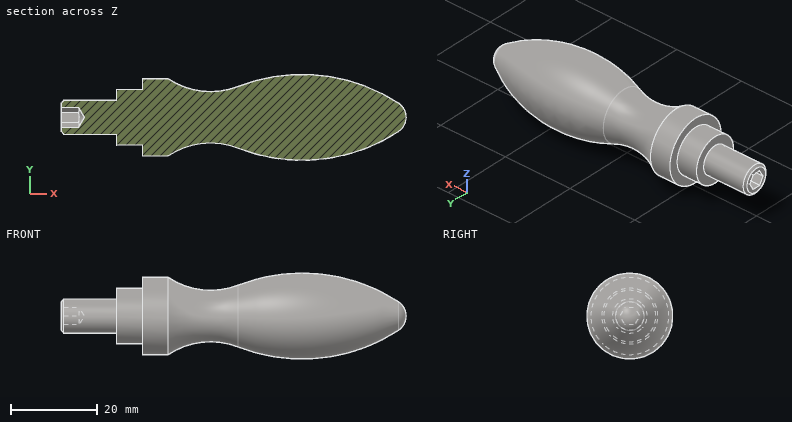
import cadquery as cq
import math

total_length = 80.0

pin_radius = 4.0
pin_length = 12.8
pin_chamfer_length = 0.6
pin_chamfer_depth = 0.7
collar_radius = 6.5
collar_length = 6.0
head_radius = 18.0 / 2
head_length = 6.0

neck_radius = 6.0
neck_curve_radius = 17.6
belly_radius = 10.0
belly_curve_radius = 40.8
tip_radius = 4.0

socket_across_flats = 4.0
socket_depth = 4.0
socket_point_angle = 120.0

collar_end = pin_length + collar_length
head_end = collar_end + head_length

tip_center = (total_length - tip_radius, 0)
belly_center_y = belly_radius - belly_curve_radius
belly_x = tip_center[0] - math.sqrt((belly_curve_radius - tip_radius) ** 2 - belly_center_y**2)
belly_center = (belly_x, belly_center_y)

neck_center_y = neck_radius + neck_curve_radius
center_distance = neck_curve_radius + belly_curve_radius
neck_x = belly_x - math.sqrt(center_distance**2 - (neck_center_y - belly_center_y) ** 2)
neck_center = (neck_x, neck_center_y)


def point_towards(start, target, distance):
    """Point at a signed distance from start on the line to target."""
    fraction = distance / math.dist(start, target)
    return tuple(s + (t - s) * fraction for s, t in zip(start, target))


neck_end = point_towards(neck_center, belly_center, neck_curve_radius)
belly_end = point_towards(belly_center, tip_center, belly_curve_radius)
tip_mid_angle = math.atan2(belly_end[1], belly_end[0] - tip_center[0]) / 2
tip_mid = (
    tip_center[0] + tip_radius * math.cos(tip_mid_angle),
    tip_radius * math.sin(tip_mid_angle),
)


def make_handle():
    """Revolve the half profile about the X axis."""
    profile = (
        cq.Workplane("XY")
        .moveTo(0, 0)
        .lineTo(0, pin_radius - pin_chamfer_depth)
        .lineTo(pin_chamfer_length, pin_radius)
        .lineTo(pin_length, pin_radius)
        .lineTo(pin_length, collar_radius)
        .lineTo(collar_end, collar_radius)
        .lineTo(collar_end, head_radius)
        .lineTo(head_end, head_radius)
        .threePointArc((neck_x, neck_radius), neck_end)
        .threePointArc((belly_x, belly_radius), belly_end)
        .threePointArc(tip_mid, (total_length, 0))
        .close()
    )
    return profile.revolve(360, (0, 0, 0), (1, 0, 0))


def make_socket():
    """Hexagon socket with flats facing up and down and a conical bottom."""
    across_corners = socket_across_flats / math.cos(math.pi / 6)
    corner_radius = across_corners / 2
    cone_depth = corner_radius / math.tan(math.radians(socket_point_angle / 2))
    hexagon = cq.Workplane("YZ").polygon(6, across_corners).extrude(socket_depth + cone_depth)
    drill = (
        cq.Workplane("XY")
        .polyline([
            (0, 0),
            (0, corner_radius),
            (socket_depth, corner_radius),
            (socket_depth + cone_depth, 0),
        ])
        .close()
        .revolve(360, (0, 0, 0), (1, 0, 0))
    )
    return hexagon.intersect(drill)


result = make_handle().cut(make_socket())